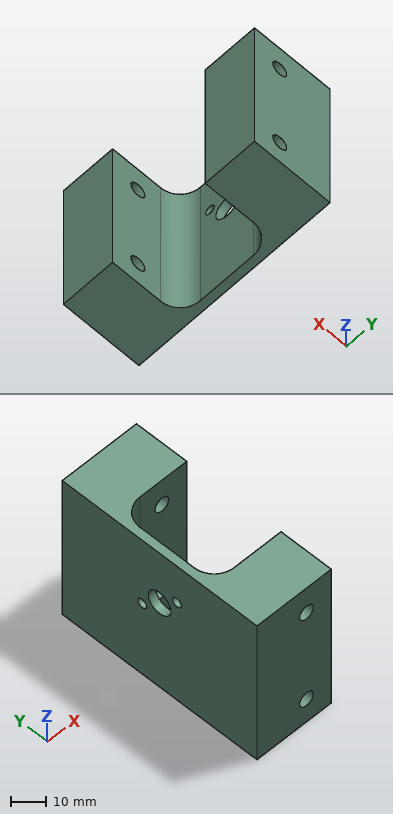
import cadquery as cq
import math

depth = 30.0
length = 77.8
height = 58.0

web_thickness = 3.0
side_wall = 20.1
channel_width = length - 2 * side_wall
channel_radius = 8.0

mount_diameter = 5.5
mount_x = 20.0
mount_heights = (9.9, 47.45)

bore_diameter = 9.0
bore_height = 36.4
screw_diameter = 3.5
screw_circle_radius = 9.0
screw_tilt = math.radians(40)
screw_y = screw_circle_radius * math.cos(screw_tilt)
screw_z = screw_circle_radius * math.sin(screw_tilt)


def make_block():
    block = cq.Workplane("XY").box(depth, length, height, centered=(False, True, False))
    channel = (
        cq.Workplane("XY")
        .box(depth - web_thickness, channel_width, height, centered=(False, True, False))
        .edges("|Z and <X")
        .fillet(channel_radius)
        .translate((web_thickness, 0, 0))
    )
    return block.cut(channel)


def mounting_holes():
    return (
        cq.Workplane("XZ")
        .pushPoints([(mount_x, z) for z in mount_heights])
        .circle(mount_diameter / 2)
        .extrude(length / 2, both=True)
    )


def web_holes(diameter, centers):
    return cq.Workplane("YZ").pushPoints(centers).circle(diameter / 2).extrude(web_thickness)


screw_centers = [(-side * screw_y, bore_height + side * screw_z) for side in (-1, 1)]

result = (
    make_block()
    .cut(mounting_holes())
    .cut(web_holes(bore_diameter, [(0, bore_height)]))
    .cut(web_holes(screw_diameter, screw_centers))
)